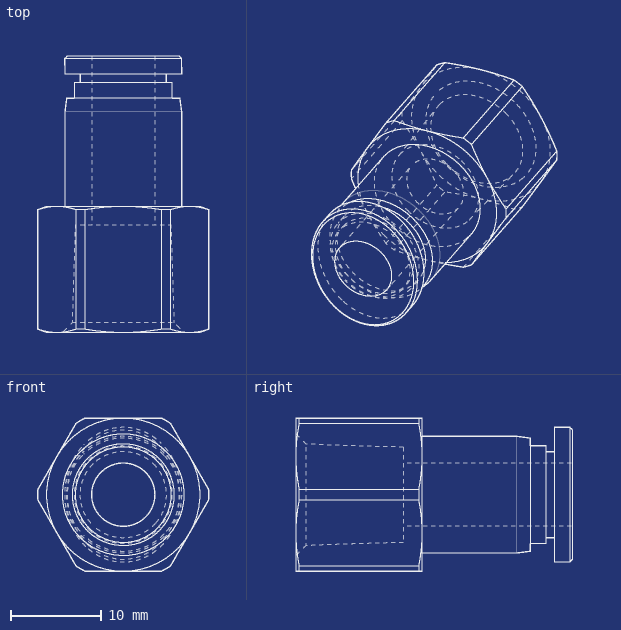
import cadquery as cq
import math

total_length = 30.7

hex_sides = 6
hex_across_flats = 17.0
hex_corner_diameter = 19.0
hex_length = 14.0
hex_chamfer_depth = 0.37

body_diameter = 13.0
body_tip_diameter = 12.6
taper_start = 24.5
body_end = 26.0
collar_diameter = 10.87
collar_end = 27.75
neck_diameter = 9.58
button_start = 28.67

button_width = body_diameter
button_height = 14.98
button_chamfer = 0.3

mouth_diameter = 13.5
thread_diameter = 11.3
thread_floor_diameter = 10.62
thread_taper = 1 / 16
mouth_depth = (mouth_diameter - thread_diameter) / 2
thread_depth = mouth_depth + (thread_diameter - thread_floor_diameter) / thread_taper
through_diameter = 7.0

front = -total_length / 2


def revolve_profile(stations):
    """Solid of revolution about Y from (diameter, distance from front) pairs."""
    outline = [(diameter / 2, front + distance) for diameter, distance in stations]
    start = (0, outline[0][1])
    end = (0, outline[-1][1])
    return cq.Workplane("XY").polyline([start] + outline + [end]).close().revolve(360, (0, 0), (0, 1))


def make_hex():
    """Hexagonal prism with turned corners, coned off at both ends down to the flats."""
    circumscribed_diameter = hex_across_flats / math.cos(math.pi / hex_sides)
    prism = (
        cq.Workplane("XZ", origin=(0, front, 0))
        .polygon(hex_sides, circumscribed_diameter)
        .extrude(-hex_length)
    )
    turned_envelope = revolve_profile([
        (hex_across_flats, 0),
        (hex_corner_diameter, hex_chamfer_depth),
        (hex_corner_diameter, hex_length - hex_chamfer_depth),
        (hex_across_flats, hex_length),
    ])
    return prism.intersect(turned_envelope)


def make_body():
    """Stepped round body from the front face up to the button."""
    return revolve_profile([
        (body_diameter, 0),
        (body_diameter, taper_start),
        (body_tip_diameter, body_end),
        (collar_diameter, body_end),
        (collar_diameter, collar_end),
        (neck_diameter, collar_end),
        (neck_diameter, button_start),
    ])


def make_button():
    """Elliptical button, taller than wide, with a chamfered rear rim."""
    return (
        cq.Workplane("XZ", origin=(0, front + button_start, 0))
        .ellipse(button_width / 2, button_height / 2)
        .extrude(-(total_length - button_start))
        .faces(">Y")
        .chamfer(button_chamfer)
    )


def make_bore():
    """Countersunk tapered thread bore, continued by a plain hole out to the rear."""
    return revolve_profile([
        (mouth_diameter, 0),
        (thread_diameter, mouth_depth),
        (thread_floor_diameter, thread_depth),
        (through_diameter, thread_depth),
        (through_diameter, total_length),
    ])


result = make_hex().union(make_body()).union(make_button()).cut(make_bore())